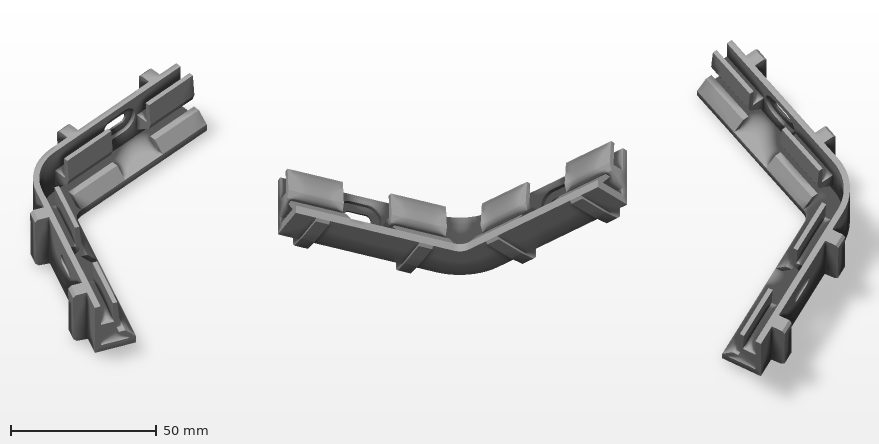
import cadquery as cq
import math

arm_angle = 114.0
turn_angle = 180.0 - arm_angle
clip_length = 20.9
slotted_length = 18.0
channel_width = 15.1
channel_height = 22.1
bend_inner_radius = 4.7
bend_outer_radius = bend_inner_radius + channel_width

wall_thickness = 2.2
floor_thickness = 3.0

plate_top_outer = 6.6
plate_root_outer = 7.0
plate_top_inner = 8.3
plate_hook = 9.0
gap_floor_height = 13.0
underside_across = 8.1
underside_height = 10.3
underside_root_height = 5.8

lip_height = 7.3
lip_top_inner = 8.8
lip_top_outer = 11.2
lip_root_inner = 12.6

rib_width = 5.1
rib_reach = 5.1
rib_drop = 0.9
rib_top_chamfer = 1.0
rib_bottom_chamfer = 1.2
rib_tip_drop = 0.3

slot_length = 10.2
slot_height = 3.9
slot_center_height = 14.1
slot_wall_thickness = 0.7
recess_margin = 3.1

lean_about_x = 0.2
twist_about_z = -0.15


def extrude_along(points, start, length):
    """Extrude a closed (across, height) outline along an arm."""
    return cq.Workplane("YZ").workplane(offset=start).polyline(points).close().extrude(length)


def make_clip_section(start):
    """Channel with retaining plate, lip and a centred rib."""
    channel_outline = [
        (0, 0),
        (channel_width, 0),
        (channel_width, floor_thickness),
        (lip_top_outer, lip_height),
        (lip_top_inner, lip_height),
        (lip_root_inner, floor_thickness),
        (wall_thickness, floor_thickness),
        (wall_thickness, underside_root_height),
        (underside_across, underside_height),
        (plate_hook, gap_floor_height),
        (plate_top_inner, channel_height),
        (plate_top_outer, channel_height),
        (plate_root_outer, gap_floor_height),
        (wall_thickness, gap_floor_height),
        (wall_thickness, channel_height),
        (0, channel_height),
    ]
    rib_outline = [
        (0, channel_height),
        (rib_top_chamfer - rib_reach, channel_height),
        (-rib_reach, channel_height - rib_top_chamfer),
        (-rib_reach, rib_bottom_chamfer - rib_tip_drop),
        (rib_bottom_chamfer - rib_reach, -rib_tip_drop),
        (wall_thickness, -rib_drop),
        (channel_width - rib_drop, -rib_drop),
        (channel_width, 0),
        (0, 0),
    ]
    rib_start = start + (clip_length - rib_width) / 2
    channel = extrude_along(channel_outline, start, clip_length)
    rib = extrude_along(rib_outline, rib_start, rib_width)
    return channel.union(rib)


def slot_cutter(center, length, height, start_across):
    """Rounded slot from the given depth in the wall to the inner wall face."""
    return (
        cq.Workplane("XZ", origin=(center, start_across, slot_center_height))
        .slot2D(length, height)
        .extrude(start_across - wall_thickness)
    )


def make_slotted_section(start):
    """Plain wall and floor with a recessed, rounded slot through the wall."""
    outline = [
        (0, 0),
        (channel_width, 0),
        (channel_width, floor_thickness),
        (wall_thickness, floor_thickness),
        (wall_thickness, channel_height),
        (0, channel_height),
    ]
    section = extrude_along(outline, start, slotted_length)
    slot_center = start + slotted_length / 2
    slot = slot_cutter(slot_center, slot_length, slot_height, 0)
    recess_length = slot_length + 2 * recess_margin
    recess_height = slot_height + 2 * recess_margin
    recess = slot_cutter(slot_center, recess_length, recess_height, slot_wall_thickness)
    return section.cut(slot).cut(recess)


def bend_sector(inner_radius, height):
    """Ring sector spanning the bend, from the given radius out to the outer wall face."""

    def on_bend(radius, angle):
        """Point on the bend, at an angle measured back from the start of the first arm."""
        turn = math.radians(angle)
        return (-radius * math.sin(turn), bend_outer_radius - radius * math.cos(turn))

    half_turn = turn_angle / 2
    return (
        cq.Workplane("XY")
        .moveTo(*on_bend(inner_radius, 0))
        .lineTo(*on_bend(bend_outer_radius, 0))
        .threePointArc(on_bend(bend_outer_radius, half_turn), on_bend(bend_outer_radius, turn_angle))
        .lineTo(*on_bend(inner_radius, turn_angle))
        .threePointArc(on_bend(inner_radius, half_turn), on_bend(inner_radius, 0))
        .close()
        .extrude(height)
    )


def make_bend():
    """Curved floor and wall that join the two arms."""
    floor = bend_sector(bend_inner_radius, floor_thickness)
    wall = bend_sector(bend_outer_radius - wall_thickness, channel_height)
    return floor.union(wall)


def to_second_arm(section):
    """Mirror a section of the first arm and swing it round the bend centre."""
    bend_center = (0, bend_outer_radius, 0)
    axis_end = (0, bend_outer_radius, 1)
    return section.mirror("YZ").rotate(bend_center, axis_end, -turn_angle)


def place(section):
    """Give a section the lean and twist of the assembly."""
    leaned = section.rotate((0, 0, 0), (1, 0, 0), lean_about_x)
    return leaned.rotate((0, 0, 0), (0, 0, 1), twist_about_z)


outer_clip_start = clip_length + slotted_length
clip_sections = [make_clip_section(start) for start in (0, outer_clip_start)]
slotted_section = make_slotted_section(clip_length)
first_arm = [*clip_sections, slotted_section]
second_arm = [to_second_arm(section) for section in first_arm]
bend = make_bend()

result = cq.Compound.makeCompound([place(body).val() for body in [*first_arm, *second_arm, bend]])